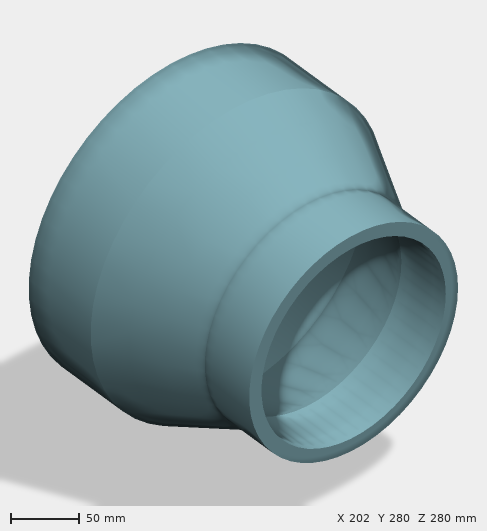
import cadquery as cq

total_length = 202.0
large_length = 70.0
small_length = 50.0
large_outer_diameter = 280.0
small_outer_diameter = 200.0
large_wall = 16.5
small_wall = 11.8

cone_start = large_length
cone_end = total_length - small_length


def stepped_cone(large_radius, small_radius):
    """Solid of a large cylinder, a cone and a small cylinder in line along +X."""
    profile = [
        (0, 0),
        (0, large_radius),
        (cone_start, large_radius),
        (cone_end, small_radius),
        (total_length, small_radius),
        (total_length, 0),
    ]
    return cq.Workplane("XY").polyline(profile).close().revolve(360, (0, 0, 0), (1, 0, 0))


large_outer_radius = large_outer_diameter / 2
small_outer_radius = small_outer_diameter / 2

body = stepped_cone(large_outer_radius, small_outer_radius)
bore = stepped_cone(large_outer_radius - large_wall, small_outer_radius - small_wall)

result = body.cut(bore)